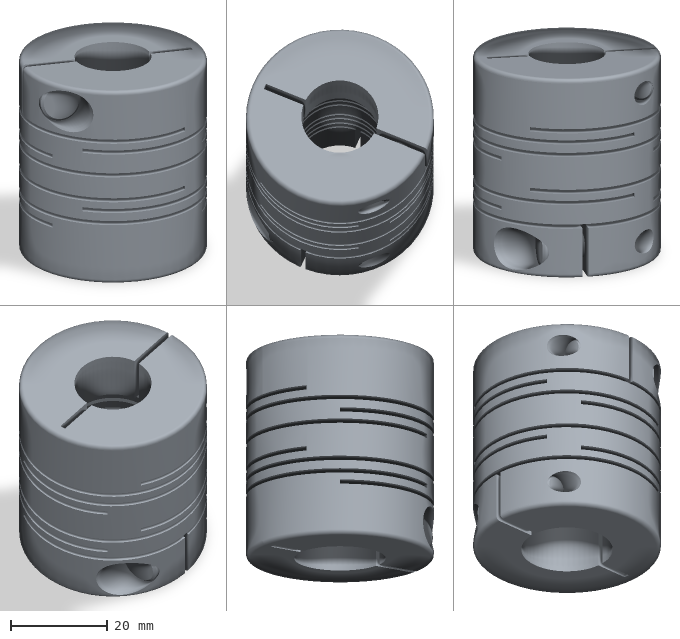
import cadquery as cq


outer_diameter = 39.0
length = 43.0
edge_radius = 0.85
bore_diameter = 19.0
top_bore_diameter = 16.0

slot_width = 0.9
slot_reach = 11.05
slot_offsets = (10.3, 7.9, 5.2, 2.8)
upper_open_sides = ("-Y", "+Y", "-X", "+X")
lower_open_sides = ("-X", "+X", "+Y", "-Y")

split_width = 1.2
split_reach = 16.95

screw_offset = 13.55
screw_end_distance = 5.38
screw_diameter = 5.0
screw_tip = 11.25
tip_chamfer = 0.5
head_diameter = 8.5
head_height = 3.65
head_face = 8.65
head_chamfer = 0.5
counterbore_diameter = 9.0

outer_radius = outer_diameter / 2
mid_height = length / 2
hub_length = mid_height - slot_offsets[0] - slot_width / 2
head_seat = head_face - head_height
turn_to_open_side = {"-Y": 0, "+X": 90, "+Y": 180, "-X": 270}


def rod_along_x(diameter, start, end):
    """Cylinder on the top screw axis between two X positions."""
    axis_height = length - screw_end_distance
    return (
        cq.Workplane("YZ", origin=(start, -screw_offset, axis_height))
        .circle(diameter / 2)
        .extrude(end - start)
    )


def to_bottom_hub(shape):
    """Half turn about the XY diagonal at mid length: swaps X with Y and top with bottom."""
    return shape.rotate((0, 0, mid_height), (0.45, 0.45, mid_height), 180)


def slot_cutter(open_side, center_height):
    """Slab cutting in from one side and stopping at a straight chord past the axis."""
    depth = outer_radius + slot_reach
    slab = (
        cq.Workplane("XY")
        .box(outer_diameter, depth, slot_width)
        .translate((0, slot_reach - depth / 2, center_height))
    )
    return slab.rotate((0, 0, 0), (0, 0, 1), turn_to_open_side[open_side])


def split_cutter():
    """Clamp split of the top hub, from the end face down to the first slot."""
    depth = outer_radius + split_reach
    return (
        cq.Workplane("XY")
        .box(split_width, depth, hub_length)
        .translate((0, split_reach - depth / 2, length - hub_length / 2))
    )


def screw_hole_cutter():
    """Screw hole through the top hub with a counterbore open on the +X side."""
    hole = rod_along_x(screw_diameter, -outer_radius, head_seat)
    counterbore = rod_along_x(counterbore_diameter, head_seat, outer_radius)
    return hole.union(counterbore)


def clamp_screw():
    """Cap screw of the top hub with chamfered tip and head."""
    shank = rod_along_x(screw_diameter, -screw_tip, head_seat).faces("<X").chamfer(tip_chamfer)
    head = rod_along_x(head_diameter, head_seat, head_face).faces(">X").chamfer(head_chamfer)
    return shank.union(head)


body = cq.Workplane("XY").circle(outer_radius).extrude(length).edges().fillet(edge_radius)
top_bore = cq.Workplane("XY").circle(top_bore_diameter / 2).extrude(length)
main_bore = cq.Workplane("XY").circle(bore_diameter / 2).extrude(length - hub_length)
body = body.cut(top_bore).cut(main_bore)

for offset, upper_side, lower_side in zip(slot_offsets, upper_open_sides, lower_open_sides):
    body = body.cut(slot_cutter(upper_side, mid_height + offset))
    body = body.cut(slot_cutter(lower_side, mid_height - offset))

for cutter in (split_cutter(), screw_hole_cutter()):
    body = body.cut(cutter).cut(to_bottom_hub(cutter))

screw = clamp_screw()
result = body.union(screw).union(to_bottom_hub(screw))